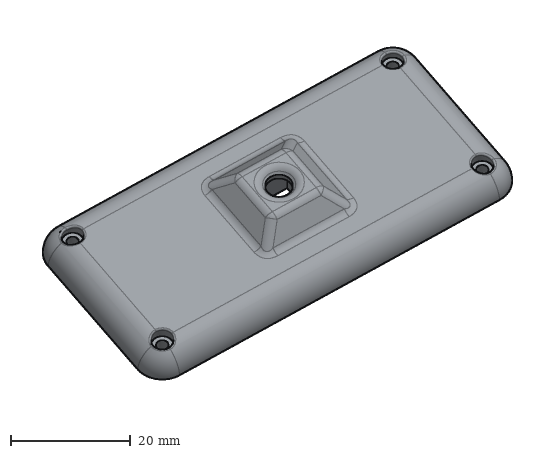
import cadquery as cq
import math

plate_length = 75.1
plate_width = 36.5
edge_radius = 5.0
plate_thickness = 4.95

lip_height = 2.5
lip_inset = 1.95

boss_height = 4.0
boss_base = 18.55
boss_taper = 45
boss_fillet = 2.0
boss_x = -0.2
boss_y = 0.45

hole_diameter = 4.65
mouth_diameter = 8.4
mouth_radius = 2.0
countersink_angle = 45
ceiling_thickness = 2.1

screw_diameter = 2.1
counterbore_diameter = 3.75
counterbore_depth = 2.0
counterbore_fillet = 0.3
seam_turn = 45

margin = 0.01

plate_top = lip_height + plate_thickness
boss_top_z = plate_top + boss_height
boss_top = boss_base - 2 * boss_height * math.tan(math.radians(boss_taper))
screw_spacing_x = plate_width - 2 * edge_radius
screw_spacing_y = plate_length - 2 * edge_radius
pocket_side = boss_top
pocket_depth = boss_top_z - ceiling_thickness


def rounded_block(width, length, height, corner_radius):
    """Upright block standing on Z = 0, with rounded vertical corners."""
    block = cq.Workplane("XY").rect(width, length).extrude(height)
    return block.edges("|Z").fillet(corner_radius)


def make_plate():
    """Plate with a quarter-round rim, standing on a lip set in from its outline."""
    lip = rounded_block(
        plate_width - 2 * lip_inset,
        plate_length - 2 * lip_inset,
        lip_height,
        edge_radius - lip_inset,
    )
    block = cq.Workplane("XY").rect(plate_width, plate_length).extrude(plate_top)
    block = block.edges("|Z or >Z").fillet(edge_radius)
    below_plate = cq.Workplane("XY").rect(plate_width, plate_length).extrude(lip_height)
    return block.cut(below_plate).union(lip)


def add_boss(body):
    """Square pyramid frustum, rounded on its edges and blended into the plate."""
    frustum = cq.Workplane("XY", origin=(boss_x, boss_y, plate_top)).rect(boss_base, boss_base)
    frustum = frustum.extrude(boss_height, taper=boss_taper)
    frustum = frustum.edges("not <Z").fillet(boss_fillet)
    body = body.union(frustum)
    reach = boss_base / 2 + margin
    base_region = cq.selectors.BoxSelector(
        (boss_x - reach, boss_y - reach, plate_top - margin),
        (boss_x + reach, boss_y + reach, plate_top + margin),
    )
    return body.edges(base_region).fillet(boss_fillet)


def cut_boss_hole(body):
    """Countersunk hole with a rounded rim, above a square pocket open underneath."""
    arc_run = mouth_radius * math.sin(math.radians(countersink_angle))
    arc_drop = mouth_radius * (1 - math.cos(math.radians(countersink_angle)))
    hole_radius = hole_diameter / 2
    cone_top_radius = mouth_diameter / 2 - arc_run
    cone_top_z = boss_top_z - arc_drop
    cone_height = (cone_top_radius - hole_radius) * math.tan(math.radians(countersink_angle))
    hole = (
        cq.Workplane("XZ")
        .moveTo(0, pocket_depth)
        .lineTo(hole_radius, pocket_depth)
        .lineTo(hole_radius, cone_top_z - cone_height)
        .lineTo(cone_top_radius, cone_top_z)
        .radiusArc((mouth_diameter / 2, boss_top_z), mouth_radius)
        .lineTo(0, boss_top_z)
        .close()
        .revolve(360, (0, 0), (0, 1))
    )
    pocket = cq.Workplane("XY").rect(pocket_side, pocket_side).extrude(pocket_depth)
    return body.cut(hole.union(pocket).translate((boss_x, boss_y, 0)))


def cut_screw_holes(body):
    """Counterbored through holes at the corners, with rounded counterbore mouths."""
    seat_z = plate_top - counterbore_depth
    bore_radius = counterbore_diameter / 2
    bore = cq.Workplane("XY", origin=(0, 0, seat_z)).circle(bore_radius).extrude(counterbore_depth)
    bore = bore.rotate((0, 0, 0), (0, 0, 1), seam_turn)
    screw_hole = cq.Workplane("XY").circle(screw_diameter / 2).extrude(seat_z)
    reach = bore_radius + margin
    for x in (-screw_spacing_x / 2, screw_spacing_x / 2):
        for y in (-screw_spacing_y / 2, screw_spacing_y / 2):
            body = body.cut(bore.translate((x, y, 0)))
            mouth_region = cq.selectors.BoxSelector(
                (x - reach, y - reach, seat_z + margin),
                (x + reach, y + reach, plate_top + margin),
                boundingbox=True,
            )
            body = body.edges(mouth_region).fillet(counterbore_fillet)
            body = body.cut(screw_hole.translate((x, y, 0)))
    return body


result = make_plate()
result = cut_screw_holes(result)
result = add_boss(result)
result = cut_boss_hole(result)